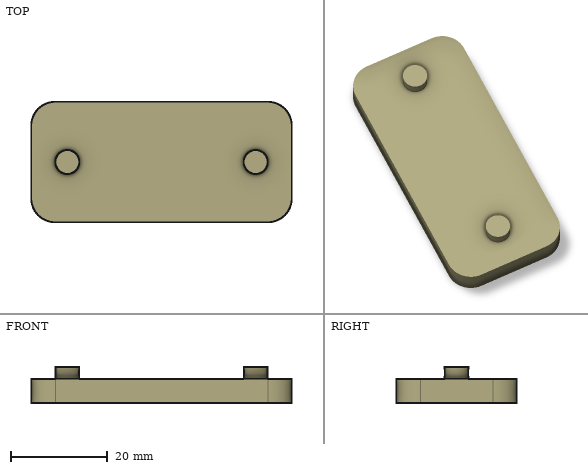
import cadquery as cq

plate_length = 54.0
plate_width = 25.0
plate_thickness = 5.0
corner_radius = 5.0

overall_height = 7.5
pin_height = overall_height - plate_thickness
pin_diameter = 5.0
pin_radius = pin_diameter / 2
pin_waist_depth = 0.05
pin_spacing = 39.0


def make_plate():
    """Flat plate with rounded vertical corners, resting on Z = 0."""
    return (
        cq.Workplane("XY")
        .box(plate_length, plate_width, plate_thickness, centered=(True, True, False))
        .edges("|Z")
        .fillet(corner_radius)
    )


def make_pin(x_position):
    """Round pin standing on the plate, its side slightly hollowed by an arc."""
    waist_radius = pin_radius - pin_waist_depth
    profile = (
        cq.Workplane("XZ")
        .lineTo(pin_radius, 0)
        .threePointArc((waist_radius, pin_height / 2), (pin_radius, pin_height))
        .lineTo(0, pin_height)
        .close()
    )
    pin = profile.revolve(360, (0, 0, 0), (0, 1, 0))
    return pin.translate((x_position, 0, plate_thickness))


result = make_plate()
for side in (-1, 1):
    result = result.union(make_pin(side * pin_spacing / 2))